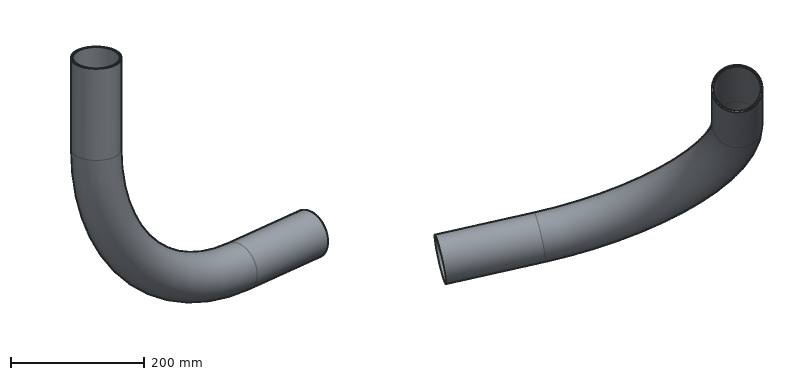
import cadquery as cq
import math

overall_length = 495.5
outer_diameter = 76.5
inner_diameter = 70.5

leg_length = 152.5
bend_radius = overall_length - outer_diameter / 2 - leg_length
centreline_reach = leg_length + bend_radius

bend_middle = bend_radius * (1 - math.cos(math.radians(45)))
centreline = (
    cq.Workplane("YZ")
    .moveTo(0, centreline_reach)
    .lineTo(0, bend_radius)
    .threePointArc((bend_middle, bend_middle), (bend_radius, 0))
    .lineTo(centreline_reach, 0)
)

result = (
    cq.Workplane("XY", origin=(0, 0, centreline_reach))
    .circle(outer_diameter / 2)
    .circle(inner_diameter / 2)
    .sweep(centreline)
)